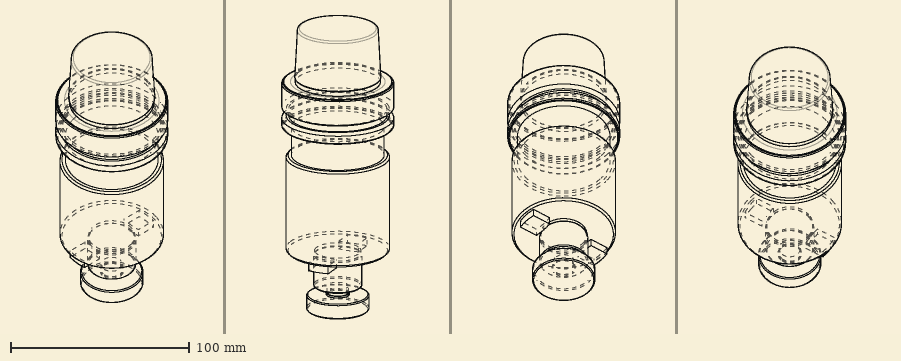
import cadquery as cq

total_height = 166.9
taper_bottom = 138.0
flange_top = 135.2
upper_rim_bottom = 119.0
lower_rim_top = 115.2
flange_bottom = 108.7
body_top = 91.6
body_bottom = 34.9
relief_bottom = 33.0
pilot_bottom = 13.9
head_top = 8.8
key_bottom = 30.2

taper_top_radius = 22.7
taper_bottom_radius = 24.2
taper_neck_radius = 23.9
flange_diameter = 63.0
flange_radius = flange_diameter / 2
flange_recess_radius = 26.5
flange_groove_radius = 27.5
neck_radius = 26.0
body_radius = 29.0
relief_radius = 13.0
pilot_radius = 13.5
stud_radius = 6.0
head_radius = 17.5

taper_top_round = 1.2
taper_undercut_height = 0.5
flange_chamfer = 0.8
flange_second_chamfer = 0.3
groove_chamfer_width = 2.5
groove_chamfer_height = 1.3
body_chamfer = 1.2
pilot_chamfer = 0.7
collar_width = 0.5
collar_height = 1.0
head_chamfer = 0.7
recess_depth = 0.3

key_width = 12.0
key_inner = 14.2
key_outer = 26.5
key_end_bow = 0.5


def turned_step(radius, bottom, top):
    """Cylinder on the Z axis between two levels."""
    return cq.Workplane("XY").workplane(offset=bottom).circle(radius).extrude(top - bottom)


def make_taper():
    """Tapered shank with a rounded tip, above a narrower cylindrical neck."""
    cone = (
        cq.Workplane("XZ")
        .moveTo(0, taper_bottom - taper_undercut_height)
        .lineTo(taper_neck_radius, taper_bottom - taper_undercut_height)
        .lineTo(taper_bottom_radius, taper_bottom)
        .lineTo(taper_top_radius, total_height)
        .lineTo(0, total_height)
        .close()
        .revolve(360, (0, 0, 0), (0, 1, 0))
        .faces(">Z")
        .edges()
        .fillet(taper_top_round)
    )
    return cone.union(turned_step(taper_neck_radius, flange_bottom, taper_bottom))


def make_flange():
    """Two flange rims separated by a gripper groove with sloped lips.

    The outer faces are broken by two chamfers in a row.
    """
    upper_rim = (
        turned_step(flange_radius, upper_rim_bottom, flange_top)
        .faces(">Z").chamfer(flange_chamfer)
        .faces(">Z").chamfer(flange_second_chamfer)
        .faces("<Z").chamfer(groove_chamfer_height, groove_chamfer_width)
    )
    lower_rim = (
        turned_step(flange_radius, flange_bottom, lower_rim_top)
        .faces("<Z").chamfer(flange_chamfer)
        .faces("<Z").chamfer(flange_second_chamfer)
        .faces(">Z").chamfer(groove_chamfer_height, groove_chamfer_width)
    )
    groove_core = turned_step(flange_groove_radius, lower_rim_top, upper_rim_bottom)
    return upper_rim.union(groove_core).union(lower_rim)


def make_recess():
    """Shallow conical recess in the flange face, deepest at the taper neck."""
    return (
        cq.Workplane("XZ")
        .moveTo(taper_neck_radius, flange_top)
        .lineTo(flange_recess_radius, flange_top)
        .lineTo(taper_neck_radius, flange_top - recess_depth)
        .close()
        .revolve(360, (0, 0, 0), (0, 1, 0))
    )


def make_body():
    """Neck and main cylinder of the arbor."""
    neck = turned_step(neck_radius, body_top, flange_bottom)
    barrel = turned_step(body_radius, body_bottom, body_top).faces("<Z or >Z").chamfer(body_chamfer)
    return neck.union(barrel)


def make_pilot():
    """Pilot below the body, relieved next to the body face."""
    relief = turned_step(relief_radius, relief_bottom, body_bottom)
    pilot = turned_step(pilot_radius, pilot_bottom, relief_bottom).faces("<Z or >Z").chamfer(pilot_chamfer)
    return relief.union(pilot)


def make_screw():
    """Clamping screw: stud, small collar and wide chamfered head."""
    stud = turned_step(stud_radius, head_top, pilot_bottom)
    collar = turned_step(stud_radius + collar_width, head_top, head_top + collar_height)
    head = turned_step(head_radius, 0, head_top).faces("<Z or >Z").chamfer(head_chamfer)
    return stud.union(collar).union(head)


def make_key():
    """Drive key on the +Y side, with slightly bowed inner and outer ends."""
    half_width = key_width / 2
    return (
        cq.Workplane("XY")
        .workplane(offset=key_bottom)
        .moveTo(-half_width, key_inner + key_end_bow)
        .threePointArc((0, key_inner), (half_width, key_inner + key_end_bow))
        .lineTo(half_width, key_outer - key_end_bow)
        .threePointArc((0, key_outer), (-half_width, key_outer - key_end_bow))
        .close()
        .extrude(body_bottom - key_bottom)
    )


result = (
    make_flange()
    .cut(make_recess())
    .union(make_taper())
    .union(make_body())
    .union(make_pilot())
    .union(make_screw())
    .union(make_key())
    .union(make_key().mirror("XZ"))
)